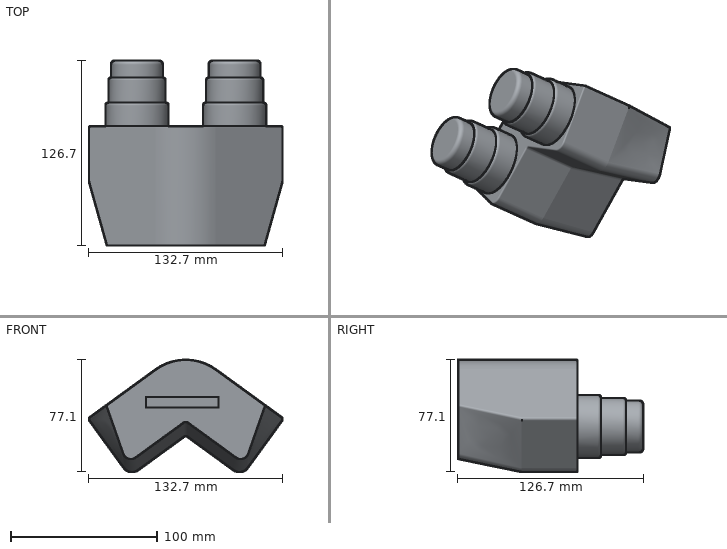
import cadquery as cq
import math

SLOPE = math.radians(36)
RIDGE_RADIUS = 35.0
NOTCH_RADIUS = 2.0
STRAIGHT_LENGTH = 38.1
TAPER_LENGTH = 43.63
REAR_EDGE_RADIUS = 1.0

HALF_WIDTH = 66.33
HEIGHT = 77.11
TIP_RADIUS = 1.7
FOOT_RADIUS = 7.0

FRONT_HALF_WIDTH = 54.4
FRONT_THINNING = 8.0
FRONT_END_LEAN = math.radians(19.3)
FRONT_FOOT_RADIUS = 5.6

PEG_STEPS = [(43.4, 16.1, 2.0), (39.3, 17.2, 2.0), (35.8, 11.7, 3.0)]
PEG_SPACING = 66.9
PEG_DROP = 45.8

LABEL_WIDTH = 49.7
LABEL_HEIGHT = 7.4
LABEL_X = -2.5
LABEL_DROP = 29.2
LABEL_DEPTH = 0.2

ROUNDING_LOSS = math.sin(SLOPE) + math.cos(SLOPE) - 1
APEX_Z = RIDGE_RADIUS * (1 / math.cos(SLOPE) - 1)
TIP_X = HALF_WIDTH + TIP_RADIUS * ROUNDING_LOSS
TIP_Z = APEX_Z - TIP_X * math.tan(SLOPE)
FOOT_Z = -HEIGHT - FOOT_RADIUS * ROUNDING_LOSS
ARM_THICKNESS = (TIP_Z - FOOT_Z) / math.cos(SLOPE)
FOOT_X = TIP_X - ARM_THICKNESS * math.sin(SLOPE)
NOTCH_Z = APEX_Z - ARM_THICKNESS / math.cos(SLOPE)

FRONT_NOTCH_Z = NOTCH_Z + FRONT_THINNING / math.cos(SLOPE)
FRONT_TIP_Z = APEX_Z - FRONT_HALF_WIDTH * math.tan(SLOPE)
FRONT_END_DROP = (FRONT_TIP_Z - FRONT_NOTCH_Z + FRONT_HALF_WIDTH * math.tan(SLOPE)) / (
    1 + math.tan(FRONT_END_LEAN) * math.tan(SLOPE)
)
FRONT_FOOT_X = FRONT_HALF_WIDTH - FRONT_END_DROP * math.tan(FRONT_END_LEAN)
FRONT_FOOT_Z = FRONT_TIP_Z - FRONT_END_DROP


def corner_arc(before, corner, after, radius):
    """Start, middle and end of the arc that rounds a corner."""
    to_before = (before - corner).normalized()
    to_after = (after - corner).normalized()
    half_angle = to_before.getAngle(to_after) / 2
    setback = radius / math.tan(half_angle)
    middle_distance = radius / math.sin(half_angle) - radius
    middle = corner + (to_before + to_after).normalized() * middle_distance
    return corner + to_before * setback, middle, corner + to_after * setback


def section(y, tip, foot, notch_z, foot_radius):
    """Closed section at the given Y, with all six corners rounded."""
    rounded_corners = [
        (0, APEX_Z, RIDGE_RADIUS),
        (tip[0], tip[1], TIP_RADIUS),
        (foot[0], foot[1], foot_radius),
        (0, notch_z, NOTCH_RADIUS),
        (-foot[0], foot[1], foot_radius),
        (-tip[0], tip[1], TIP_RADIUS),
    ]
    points = [cq.Vector(x, y, z) for x, z, _ in rounded_corners]
    count = len(points)
    arcs = []
    for i, (_, _, radius) in enumerate(rounded_corners):
        arcs.append(corner_arc(points[i - 1], points[i], points[(i + 1) % count], radius))
    edges = []
    for i, (start, middle, end) in enumerate(arcs):
        next_start = arcs[(i + 1) % count][0]
        edges.append(cq.Edge.makeThreePointArc(start, middle, end))
        edges.append(cq.Edge.makeLine(end, next_start))
    return cq.Wire.assembleEdges(edges)


def straight_section(y):
    return section(y, (TIP_X, TIP_Z), (FOOT_X, FOOT_Z), NOTCH_Z, FOOT_RADIUS)


def front_section(y):
    tip = (FRONT_HALF_WIDTH, FRONT_TIP_Z)
    foot = (FRONT_FOOT_X, FRONT_FOOT_Z)
    return section(y, tip, foot, FRONT_NOTCH_Z, FRONT_FOOT_RADIUS)


def make_block():
    taper_start = -STRAIGHT_LENGTH
    taper_end = taper_start - TAPER_LENGTH
    straight = cq.Solid.extrudeLinear(straight_section(0), [], cq.Vector(0, taper_start, 0))
    rounded = cq.Workplane(straight).faces(">Y").edges().fillet(REAR_EDGE_RADIUS)
    taper = cq.Solid.makeLoft([straight_section(taper_start), front_section(taper_end)], True)
    return rounded.union(cq.Workplane(taper))


def make_peg(x):
    """Stack of rounded cylinders along +Y, each narrower than the last."""
    peg = cq.Workplane()
    y = 0
    for diameter, length, edge_radius in PEG_STEPS:
        step = (
            cq.Workplane("XZ", origin=(x, y, -PEG_DROP))
            .circle(diameter / 2)
            .extrude(-length)
            .faces(">Y")
            .edges()
            .fillet(edge_radius)
        )
        peg = peg.add(step)
        y += length
    return peg.combine()


def make_label():
    front_y = -STRAIGHT_LENGTH - TAPER_LENGTH
    return (
        cq.Workplane("XZ", origin=(LABEL_X, front_y, -LABEL_DROP))
        .rect(LABEL_WIDTH, LABEL_HEIGHT)
        .extrude(-LABEL_DEPTH)
    )


result = make_block()
for side in (-1, 1):
    result = result.union(make_peg(side * PEG_SPACING / 2))
result = result.cut(make_label())